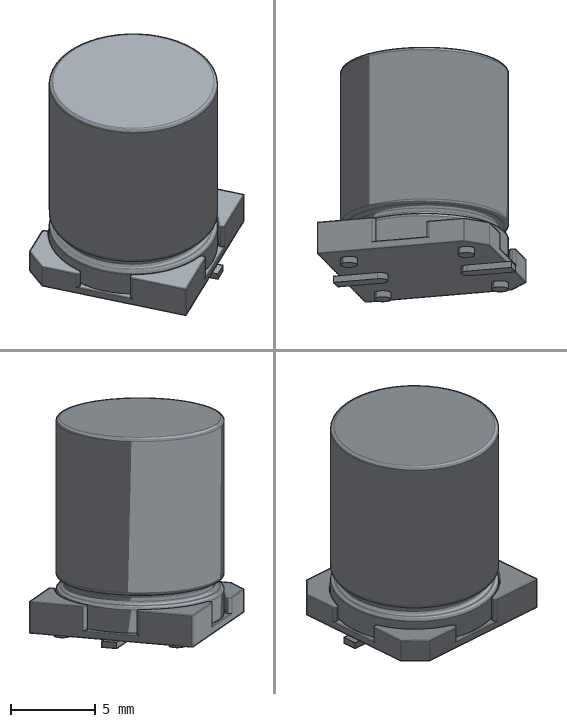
import cadquery as cq
import math

TOTAL_HEIGHT = 12.8
LEAD_SPAN = 11.0

BASE_SIDE = 10.3
BASE_BOTTOM = 0.38
FLOOR_TOP = 0.86
LOW_CORNER_TOP = 1.82
HIGH_CORNER_TOP = 2.34
CORNER_CHAMFER = 1.23
NOTCH_WIDTH = 3.17
NOTCH_END_RADIUS = 0.18
EDGE_RADIUS = 0.05

CAN_DIAMETER = 10.0
GROOVE_DIAMETER = 9.0
GROOVE_CENTER = 2.8
GROOVE_FLAT = 0.23
CAN_RADIUS_EDGE = 0.2
CAN_GAP = 0.06

FOOT_DIAMETER = 1.0
FOOT_OFFSET = 3.62
LEAD_WIDTH = 0.95
LEAD_LENGTH = 3.21

HALF_SIDE = BASE_SIDE / 2
BORE_RADIUS = CAN_DIAMETER / 2 + CAN_GAP
PLATE_MIDDLE = (BASE_BOTTOM + FLOOR_TOP) / 2


def rounded_plate():
    """Low base plate with two chamfered corners on the -X side and all edges rounded."""
    return (
        cq.Workplane("XY")
        .workplane(offset=BASE_BOTTOM)
        .rect(BASE_SIDE, BASE_SIDE)
        .extrude(FLOOR_TOP - BASE_BOTTOM)
        .edges("|Z and <X")
        .chamfer(CORNER_CHAMFER)
        .edges()
        .fillet(EDGE_RADIUS)
    )


def corner_wall(x_sign, y_sign, top, chamfered):
    """Wall standing on one corner of the plate, hollowed to clear the can."""
    notch_edge = NOTCH_WIDTH / 2
    bore_reach = math.sqrt(BORE_RADIUS**2 - notch_edge**2)
    bore_diagonal = BORE_RADIUS / math.sqrt(2)

    def at(x, y):
        return (x_sign * x, y_sign * y)

    outline = cq.Workplane("XY").workplane(offset=PLATE_MIDDLE).moveTo(*at(notch_edge, HALF_SIDE))
    if chamfered:
        chamfer_start = HALF_SIDE - CORNER_CHAMFER
        outline = outline.lineTo(*at(chamfer_start, HALF_SIDE)).lineTo(*at(HALF_SIDE, chamfer_start))
    else:
        outline = outline.lineTo(*at(HALF_SIDE, HALF_SIDE))
    wall = (
        outline.lineTo(*at(HALF_SIDE, notch_edge))
        .lineTo(*at(bore_reach, notch_edge))
        .threePointArc(at(bore_diagonal, bore_diagonal), at(notch_edge, bore_reach))
        .close()
        .extrude(top - PLATE_MIDDLE)
    )

    end_limit = BORE_RADIUS / 2
    corner_zone = cq.selectors.BoxSelector(
        (x_sign * end_limit, y_sign * end_limit, 0),
        (x_sign * BASE_SIDE, y_sign * BASE_SIDE, TOTAL_HEIGHT),
    )
    upright = cq.selectors.ParallelDirSelector(cq.Vector(0, 0, 1))
    wall_ends = cq.selectors.SubtractSelector(upright, corner_zone)
    outer_corners = cq.selectors.AndSelector(upright, corner_zone)
    wall = wall.edges(wall_ends).fillet(NOTCH_END_RADIUS)
    wall = wall.edges(outer_corners).fillet(EDGE_RADIUS)
    return wall.faces(">Z").edges().fillet(EDGE_RADIUS)


def can():
    """Round can with a rounded top edge and a rounded groove above the base."""
    radius = CAN_DIAMETER / 2
    groove_radius = GROOVE_DIAMETER / 2
    flat_bottom = GROOVE_CENTER - GROOVE_FLAT / 2
    flat_top = GROOVE_CENTER + GROOVE_FLAT / 2
    r = CAN_RADIUS_EDGE
    return (
        cq.Workplane("XZ")
        .moveTo(0, PLATE_MIDDLE)
        .lineTo(radius, PLATE_MIDDLE)
        .lineTo(radius, flat_bottom - 2 * r)
        .radiusArc((radius - r, flat_bottom - r), -r)
        .lineTo(groove_radius + r, flat_bottom - r)
        .radiusArc((groove_radius, flat_bottom), r)
        .lineTo(groove_radius, flat_top)
        .radiusArc((groove_radius + r, flat_top + r), r)
        .lineTo(radius - r, flat_top + r)
        .radiusArc((radius, flat_top + 2 * r), -r)
        .lineTo(radius, TOTAL_HEIGHT - r)
        .radiusArc((radius - r, TOTAL_HEIGHT), -r)
        .lineTo(0, TOTAL_HEIGHT)
        .close()
        .revolve(360, (0, 0), (0, 1))
    )


def lead(x_sign):
    """Flat lead sticking out past the base, with a round inner end."""
    outer = LEAD_SPAN / 2
    round_start = outer - LEAD_LENGTH + LEAD_WIDTH / 2
    half_width = LEAD_WIDTH / 2
    return (
        cq.Workplane("XY")
        .moveTo(x_sign * outer, -half_width)
        .lineTo(x_sign * round_start, -half_width)
        .threePointArc((x_sign * (outer - LEAD_LENGTH), 0), (x_sign * round_start, half_width))
        .lineTo(x_sign * outer, half_width)
        .close()
        .extrude(BASE_BOTTOM)
    )


def feet():
    """Four round feet under the base corners."""
    return (
        cq.Workplane("XY")
        .rect(2 * FOOT_OFFSET, 2 * FOOT_OFFSET, forConstruction=True)
        .vertices()
        .circle(FOOT_DIAMETER / 2)
        .extrude(BASE_BOTTOM)
    )


result = rounded_plate().union(can()).union(feet())
for side in (-1, 1):
    result = result.union(corner_wall(-1, side, LOW_CORNER_TOP, True))
    result = result.union(corner_wall(1, side, HIGH_CORNER_TOP, False))
    result = result.union(lead(side))